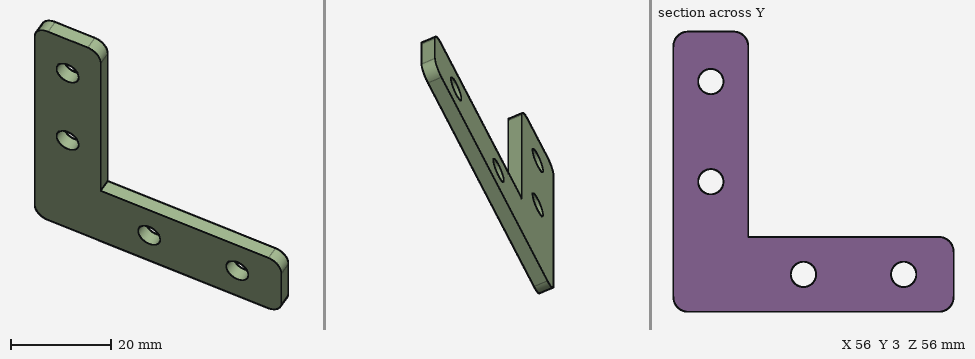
import cadquery as cq

leg_length = 56.0
leg_width = 15.0
thickness = 3.0
corner_radius = 3.0
hole_diameter = 5.0
end_hole_offset = 10.0
hole_pitch = 20.0
holes_per_leg = 2


def hole_centers():
    """Hole centers (x, z), along the centerline of each leg."""
    centers = []
    for i in range(holes_per_leg):
        along = leg_length - end_hole_offset - i * hole_pitch
        across = leg_width / 2
        centers.append((along, across))
        centers.append((across, along))
    return centers


def make_plate():
    """L-shaped plate with its outer corner at the origin and its thickness along +Y."""
    outline = [
        (0, 0),
        (leg_length, 0),
        (leg_length, leg_width),
        (leg_width, leg_width),
        (leg_width, leg_length),
        (0, leg_length),
    ]
    return cq.Workplane("XZ").polyline(outline).close().extrude(-thickness)


def round_outer_corners(plate):
    """Round every corner except the sharp inner corner of the L."""
    inner_corner = cq.selectors.NearestToPointSelector((leg_width, thickness / 2, leg_width))
    outer_edges = cq.selectors.StringSyntaxSelector("|Y") - inner_corner
    return plate.edges(outer_edges).fillet(corner_radius)


def drill_holes(plate):
    """Cut the screw holes through the full thickness."""
    cutters = (
        cq.Workplane("XZ")
        .pushPoints(hole_centers())
        .circle(hole_diameter / 2)
        .extrude(-thickness)
    )
    return plate.cut(cutters)


result = drill_holes(round_outer_corners(make_plate()))